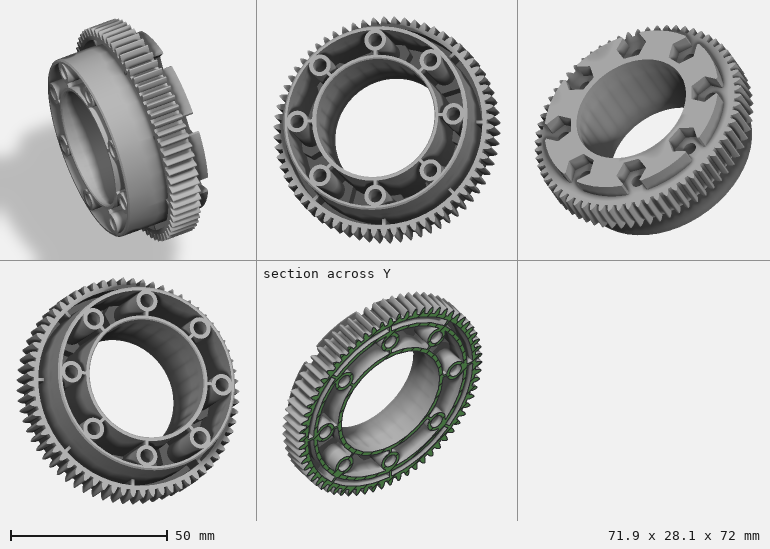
import cadquery as cq
import math

TOTAL_HEIGHT = 28.1
GEAR_REAR = 5.25
GEAR_FRONT = 15.1
FLOOR = 1.45

TOOTH_COUNT = 66
TIP_RADIUS = 36.0
ROOT_RADIUS = 33.55
FLANK_RADIUS = 34.8
TIP_SHOULDER_DROP = 0.1
ROOT_HALF_WIDTH = 1.0
FLANK_HALF_WIDTH = 0.8
TIP_HALF_WIDTH = 0.2

DRAFT_ANGLE = 0.5
COLLAR_RADIUS = 30.2
COLLAR_MOUTH_RADIUS = 28.8
COLLAR_CORE_RADIUS = 29.3
TUBE_FRONT_RADIUS = 20.6
TUBE_CORE_RADIUS = 19.9
BORE_FRONT_RADIUS = 19.3
GROOVE_MOUTH_RADIUS = 32.2
COLLAR_CHAMFER = 0.5
BORE_CHAMFER = 0.35

STATION_COUNT = 8
STATION_RADIUS = 25.5
HOLE_DIAMETER = 4.4
BOSS_RADIUS = 3.5
RIB_WIDTH = 1.0

NUT_CORNER_RADIUS = 5.2
HOUSING_CORNER_RADIUS = 6.7
NUT_DEPTH = GEAR_REAR
OPENING_HALF_WIDTH = 3.4

STATION_STEP = 360 / STATION_COUNT


def plane_at(height):
    return cq.Workplane("XZ").workplane(offset=height)


def disc(radius, bottom, top):
    return plane_at(bottom).circle(radius).extrude(top - bottom)


def ring(outer, inner, bottom, top):
    return plane_at(bottom).circle(outer).circle(inner).extrude(top - bottom)


def draft(length):
    """Sideways shift of a drafted face over the given length."""
    return length * math.tan(math.radians(DRAFT_ANGLE))


def turned(profile):
    """Revolve a closed (radius, height) profile around the Y axis."""
    points = [(radius, -height) for radius, height in profile]
    return cq.Workplane("XY").polyline(points).close().revolve(360, (0, 0), (0, 1))


def at_each_station(shape):
    """Repeat a shape made at the top (+Z) station around the axis."""
    solid = shape.val()
    copies = cq.Workplane("XZ")
    for station in range(STATION_COUNT):
        copies = copies.add(solid.rotate((0, 0, 0), (0, 1, 0), station * STATION_STEP))
    return copies.combine()


def hexagon(corner_radius, bottom, top):
    """Hexagonal prism at the top station, two of its flats facing the axis and the collar."""
    corner_diameter = 2 * corner_radius
    return (
        plane_at(bottom)
        .center(0, STATION_RADIUS)
        .polygon(6, corner_diameter)
        .extrude(top - bottom)
    )


def radial_rib(inner, outer, bottom, top):
    middle = (inner + outer) / 2
    return plane_at(bottom).center(0, middle).rect(RIB_WIDTH, outer - inner).extrude(top - bottom)


def gear_blank():
    """Solid toothed disc with one tooth centred on +Z."""

    def on_tooth(tooth, sideways, radius):
        angle = tooth * 2 * math.pi / TOOTH_COUNT
        along = math.sqrt(radius**2 - sideways**2)
        x = along * math.sin(angle) + sideways * math.cos(angle)
        z = along * math.cos(angle) - sideways * math.sin(angle)
        return x, z

    shoulder_radius = TIP_RADIUS - TIP_SHOULDER_DROP
    outline = plane_at(GEAR_REAR).moveTo(*on_tooth(0, -ROOT_HALF_WIDTH, ROOT_RADIUS))
    for tooth in range(TOOTH_COUNT):
        outline = outline.threePointArc(
            on_tooth(tooth, -FLANK_HALF_WIDTH, FLANK_RADIUS),
            on_tooth(tooth, -TIP_HALF_WIDTH, shoulder_radius),
        )
        outline = outline.threePointArc(
            on_tooth(tooth, 0, TIP_RADIUS),
            on_tooth(tooth, TIP_HALF_WIDTH, shoulder_radius),
        )
        outline = outline.threePointArc(
            on_tooth(tooth, FLANK_HALF_WIDTH, FLANK_RADIUS),
            on_tooth(tooth, ROOT_HALF_WIDTH, ROOT_RADIUS),
        )
        if tooth < TOOTH_COUNT - 1:
            outline = outline.lineTo(*on_tooth(tooth + 1, -ROOT_HALF_WIDTH, ROOT_RADIUS))
    return outline.close().extrude(GEAR_FRONT - GEAR_REAR)


def gear_ring():
    """Toothed ring, joined to the collar by a rear web and short ribs."""
    groove_floor = GEAR_REAR + FLOOR
    groove_floor_radius = GROOVE_MOUTH_RADIUS - draft(GEAR_FRONT - groove_floor)
    groove = turned([
        (0, groove_floor),
        (groove_floor_radius, groove_floor),
        (GROOVE_MOUTH_RADIUS, GEAR_FRONT),
        (0, GEAR_FRONT),
    ])
    centre = disc(COLLAR_CORE_RADIUS, GEAR_REAR, GEAR_FRONT)
    rib_outer = (GROOVE_MOUTH_RADIUS + ROOT_RADIUS) / 2
    ribs = at_each_station(radial_rib(COLLAR_CORE_RADIUS, rib_outer, GEAR_REAR, GEAR_FRONT))
    return gear_blank().cut(groove).cut(centre).union(ribs)


def hub():
    """Collar and tube joined by the rear floor, as one turned section."""
    channel_depth = TOTAL_HEIGHT - FLOOR
    collar_front_radius = COLLAR_RADIUS - draft(TOTAL_HEIGHT - GEAR_REAR)
    return turned([
        (BORE_FRONT_RADIUS - draft(TOTAL_HEIGHT), 0),
        (COLLAR_RADIUS, 0),
        (COLLAR_RADIUS, GEAR_REAR),
        (collar_front_radius, TOTAL_HEIGHT - COLLAR_CHAMFER),
        (collar_front_radius - COLLAR_CHAMFER, TOTAL_HEIGHT),
        (COLLAR_MOUTH_RADIUS, TOTAL_HEIGHT),
        (COLLAR_MOUTH_RADIUS - draft(channel_depth), FLOOR),
        (TUBE_FRONT_RADIUS + draft(channel_depth), FLOOR),
        (TUBE_FRONT_RADIUS, TOTAL_HEIGHT),
        (BORE_FRONT_RADIUS + BORE_CHAMFER, TOTAL_HEIGHT),
        (BORE_FRONT_RADIUS, TOTAL_HEIGHT - BORE_CHAMFER),
    ])


def station_details():
    """Nut housings, screw bosses and their ribs, trimmed inside the tube and collar walls."""
    housings = at_each_station(hexagon(HOUSING_CORNER_RADIUS, 0, NUT_DEPTH + FLOOR))
    boss = plane_at(0).center(0, STATION_RADIUS).circle(BOSS_RADIUS).extrude(TOTAL_HEIGHT)
    boss_rib = radial_rib(TUBE_CORE_RADIUS, STATION_RADIUS, 0, TOTAL_HEIGHT)
    posts = at_each_station(boss.union(boss_rib))
    channel = ring(COLLAR_CORE_RADIUS, TUBE_CORE_RADIUS, 0, TOTAL_HEIGHT)
    return housings.union(posts).intersect(channel)


def nut_pockets():
    """Hexagonal pockets whose mouths flare at 45 degrees through the collar."""
    mouth_depth = math.sqrt(COLLAR_RADIUS**2 - OPENING_HALF_WIDTH**2)
    apex = mouth_depth - OPENING_HALF_WIDTH
    reach = TIP_RADIUS - apex
    mouth = (
        plane_at(0)
        .moveTo(0, apex)
        .lineTo(reach, TIP_RADIUS)
        .lineTo(-reach, TIP_RADIUS)
        .close()
        .extrude(NUT_DEPTH)
    )
    return at_each_station(hexagon(NUT_CORNER_RADIUS, 0, NUT_DEPTH).union(mouth))


def screw_holes():
    hole = plane_at(0).center(0, STATION_RADIUS).circle(HOLE_DIAMETER / 2).extrude(TOTAL_HEIGHT)
    return at_each_station(hole)


result = (
    hub()
    .union(station_details())
    .union(gear_ring())
    .cut(nut_pockets())
    .cut(screw_holes())
)